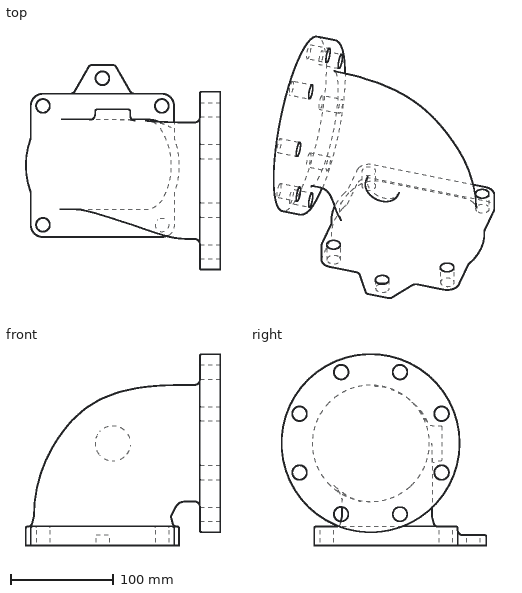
import cadquery as cq
import math


base_side = 140.0
base_thickness = 18.8
base_corner_radius = 12.0
lobe_radius = 74.8
lobe_blend_radius = 5.0
base_hole_diameter = 13.2
edge_radius = 2.0

tab_end_y = 98.0
tab_end_width = 24.8
tab_root_width = 56.8
tab_thickness = 10.5
tab_hole_y = 85.0
tab_edge_radius = 1.5
tab_root_radius = 4.8
tab_corner_radius = 3.5

pipe_end_radius = 67.0
pipe_side_plus_y = 45.0
pipe_side_minus_y = -43.0
pipe_corner_radius = 20.0
pipe_start_z = 28.5
foot_draft_angle = 14.0
foot_radius = 4.0

bend_axis_x = 68.0
bend_angle = 30.0

flange_diameter = 174.0
flange_thickness = 20.0
flange_face_x = 115.0
flange_center_y = -15.0
flange_center_z = 100.0
flange_hole_count = 8
flange_hole_diameter = 14.0
flange_bolt_circle_radius = 75.0

neck_radius = 57.0
neck_length = 12.0
neck_root_radius = 5.0

transition_steps = 8
points_per_segment = 6
tangent_weight = 1.25
ring_split_angles = (50.0, 65.0)

straight_segments = (2, 6)

boss_diameter = 34.5
boss_x = 10.0
boss_z = 100.0
boss_end_y = 54.5
boss_inner_y = 20.0
boss_edge_radius = 2.0
boss_root_radius = 5.0

margin = 0.2

neck_end_x = flange_face_x - flange_thickness
neck_start_x = neck_end_x - neck_length


def edges_in_box(body, low, high):
    """Edges that lie wholly inside a box, with a small allowance on every side."""
    low = tuple(value - margin for value in low)
    high = tuple(value + margin for value in high)
    return body.edges(cq.selectors.BoxSelector(low, high, boundingbox=True))


def make_plate():
    """Square plate with round lobes bulging from its -X and +X sides."""
    lobe_reach = base_side / 2 - base_corner_radius
    square = (
        cq.Workplane("XY")
        .rect(base_side, base_side)
        .extrude(base_thickness)
        .edges("|Z")
        .fillet(base_corner_radius)
    )
    lobe_limits = cq.Workplane("XY").rect(2 * lobe_radius, 2 * lobe_reach).extrude(base_thickness)
    lobes = cq.Workplane("XY").circle(lobe_radius).extrude(base_thickness).intersect(lobe_limits)
    plate = square.union(lobes)
    junction_y = math.sqrt(lobe_radius ** 2 - (base_side / 2) ** 2)
    junctions = edges_in_box(
        plate, (-lobe_radius, -junction_y, 0), (lobe_radius, junction_y, base_thickness)
    ).edges("|Z")
    return junctions.fillet(lobe_blend_radius)


def make_tab():
    root_y = base_side / 2
    inner_y = root_y - tab_root_radius
    return (
        cq.Workplane("XY")
        .polyline([
            (-tab_root_width / 2, inner_y),
            (-tab_root_width / 2, root_y),
            (-tab_end_width / 2, tab_end_y),
            (tab_end_width / 2, tab_end_y),
            (tab_root_width / 2, root_y),
            (tab_root_width / 2, inner_y),
        ])
        .close()
        .extrude(tab_thickness)
        .edges("|Z and >Y")
        .fillet(tab_corner_radius)
    )


def make_base():
    """Plate and tab, blended where they meet and rounded along their upper rims."""
    root_y = base_side / 2
    base = make_plate().union(make_tab())
    root = edges_in_box(
        base, (-tab_root_width / 2, root_y, 0), (tab_root_width / 2, root_y, tab_thickness)
    ).edges("|Z or >Z")
    base = root.fillet(tab_root_radius)
    tab_end_edge = base.edges("|X").edges(">Y").edges(">Z")
    base = tab_end_edge.fillet(tab_edge_radius)
    return base.faces(">Z").edges().fillet(edge_radius)


def arc_points(center, radius, start, end):
    """Points along an arc; angles in degrees from the outer side of the bend towards +Y."""
    points = []
    for i in range(points_per_segment + 1):
        angle = math.radians(start + (end - start) * i / points_per_segment)
        points.append((center[0] + radius * math.cos(angle), center[1] + radius * math.sin(angle)))
    return points


def line_points(start, end):
    points = []
    for i in range(points_per_segment + 1):
        t = i / points_per_segment
        points.append((start[0] + (end[0] - start[0]) * t, start[1] + (end[1] - start[1]) * t))
    return points


def pipe_segments():
    """Eight segments of the pipe section as (outward distance, Y) points about its centre."""
    corner_reach = pipe_end_radius - pipe_corner_radius
    plus_v = pipe_side_plus_y - pipe_corner_radius
    minus_v = pipe_side_minus_y + pipe_corner_radius
    plus_u = math.sqrt(corner_reach ** 2 - plus_v ** 2)
    minus_u = math.sqrt(corner_reach ** 2 - minus_v ** 2)
    plus_angle = math.degrees(math.atan2(plus_v, plus_u))
    minus_angle = math.degrees(math.atan2(minus_v, minus_u))
    radius = pipe_corner_radius
    return [
        arc_points((0, 0), pipe_end_radius, minus_angle, plus_angle),
        arc_points((plus_u, plus_v), radius, plus_angle, 90),
        line_points((plus_u, pipe_side_plus_y), (-plus_u, pipe_side_plus_y)),
        arc_points((-plus_u, plus_v), radius, 90, 180 - plus_angle),
        arc_points((0, 0), pipe_end_radius, 180 - plus_angle, 180 - minus_angle),
        arc_points((-minus_u, minus_v), radius, 180 - minus_angle, 270),
        line_points((-minus_u, pipe_side_minus_y), (minus_u, pipe_side_minus_y)),
        arc_points((minus_u, minus_v), radius, -90, minus_angle),
    ]


def ring_segments():
    """The neck circle split into eight arcs that match the pipe section."""
    first, second = ring_split_angles
    splits = [-first, first, second, 180 - second, 180 - first,
              180 + first, 180 + second, 360 - second, 360 - first]
    return [arc_points((0, 0), neck_radius, a, b) for a, b in zip(splits, splits[1:])]


def place_on_bend(point, angle_degrees):
    angle = math.radians(angle_degrees)
    reach = bend_axis_x + point[0]
    return cq.Vector(
        bend_axis_x - reach * math.cos(angle),
        point[1],
        pipe_start_z + reach * math.sin(angle),
    )


def place_on_neck(point):
    return cq.Vector(neck_start_x, flange_center_y + point[1], flange_center_z + point[0])


def transition_point(start, end, t):
    """Cubic blend from the bend direction to the neck direction."""
    angle = math.radians(bend_angle)
    start_direction = cq.Vector(math.sin(angle), 0, math.cos(angle))
    end_direction = cq.Vector(1, 0, 0)
    pull = tangent_weight * (end - start).Length
    return (
        start * (2 * t ** 3 - 3 * t ** 2 + 1)
        + end * (3 * t ** 2 - 2 * t ** 3)
        + start_direction * (pull * (t ** 3 - 2 * t ** 2 + t))
        + end_direction * (pull * (t ** 3 - t ** 2))
    )


def section_edge(points, is_straight):
    if is_straight:
        return cq.Edge.makeLine(points[0], points[-1])
    return cq.Edge.makeThreePointArc(points[0], points[len(points) // 2], points[-1])


def bend_section(angle):
    edges = []
    for index, segment in enumerate(pipe_segments()):
        points = [place_on_bend(p, angle) for p in segment]
        edges.append(section_edge(points, index in straight_segments))
    return cq.Wire.assembleEdges(edges)


def transition_section(t):
    edges = []
    for pipe_segment, ring_segment in zip(pipe_segments(), ring_segments()):
        starts = [place_on_bend(p, bend_angle) for p in pipe_segment]
        ends = [place_on_neck(p) for p in ring_segment]
        points = [transition_point(a, b, t) for a, b in zip(starts, ends)]
        edges.append(cq.Edge.makeSpline(points))
    return cq.Wire.assembleEdges(edges)


def neck_section():
    edges = [section_edge([place_on_neck(p) for p in s], False) for s in ring_segments()]
    return cq.Wire.assembleEdges(edges)


def make_pipe():
    """Drafted foot, bend of constant section, transition to round, and straight neck."""
    start_face = cq.Face.makeFromWires(bend_section(0))
    foot_height = pipe_start_z - base_thickness
    foot = cq.Solid.extrudeLinear(
        bend_section(0), [], cq.Vector(0, 0, -foot_height), -foot_draft_angle
    )
    bend = cq.Solid.revolve(
        start_face,
        bend_angle,
        cq.Vector(bend_axis_x, 0, pipe_start_z),
        cq.Vector(bend_axis_x, 2, pipe_start_z),
    )
    inner = [transition_section(i / transition_steps) for i in range(1, transition_steps)]
    transition = cq.Solid.makeLoft([bend_section(bend_angle), *inner, neck_section()])
    neck = cq.Solid.extrudeLinear(neck_section(), [], cq.Vector(neck_length, 0, 0))
    pipe = cq.Workplane(foot)
    for piece in (bend, transition, neck):
        pipe = pipe.union(cq.Workplane(piece), clean=False)
    return pipe


def make_flange():
    flange = (
        cq.Workplane("YZ", origin=(neck_end_x, flange_center_y, flange_center_z))
        .circle(flange_diameter / 2)
        .extrude(flange_thickness)
    )
    return flange.faces("<X").edges().fillet(edge_radius)


def make_boss():
    boss = (
        cq.Workplane("XZ", origin=(boss_x, boss_end_y, boss_z))
        .circle(boss_diameter / 2)
        .extrude(boss_end_y - boss_inner_y)
    )
    return boss.faces(">Y").edges().fillet(boss_edge_radius)


def blend_boss_root(pipe):
    reach = boss_diameter / 2
    edges = edges_in_box(
        pipe,
        (boss_x - reach, boss_inner_y, boss_z - reach),
        (boss_x + reach, boss_end_y - 2 * boss_edge_radius, boss_z + reach),
    )
    return edges.fillet(boss_root_radius)


def blend_neck_root(pipe):
    edges = edges_in_box(
        pipe,
        (neck_end_x, flange_center_y - neck_radius, flange_center_z - neck_radius),
        (neck_end_x, flange_center_y + neck_radius, flange_center_z + neck_radius),
    )
    return edges.fillet(neck_root_radius)


def blend_pipe_foot(body):
    foot_spread = (pipe_start_z - base_thickness) * math.tan(math.radians(foot_draft_angle))
    reach_x = pipe_end_radius + foot_spread
    edges = edges_in_box(
        body,
        (-reach_x, pipe_side_minus_y - foot_spread, base_thickness),
        (reach_x, pipe_side_plus_y + foot_spread, base_thickness),
    )
    return edges.fillet(foot_radius)


def make_base_holes():
    hole_reach = base_side / 2 - base_corner_radius
    corners = [(x, y) for x in (-hole_reach, hole_reach) for y in (-hole_reach, hole_reach)]
    return (
        cq.Workplane("XY")
        .pushPoints([*corners, (0, tab_hole_y)])
        .circle(base_hole_diameter / 2)
        .extrude(base_thickness)
    )


def make_flange_holes():
    """Bolt holes straddling the vertical centre line of the flange."""
    half_pitch = 180 / flange_hole_count
    return (
        cq.Workplane("YZ", origin=(neck_end_x, flange_center_y, flange_center_z))
        .polarArray(flange_bolt_circle_radius, half_pitch, 360, flange_hole_count)
        .circle(flange_hole_diameter / 2)
        .extrude(flange_thickness)
    )


elbow = blend_boss_root(make_pipe().union(make_boss(), clean=False))
elbow = blend_neck_root(elbow.union(make_flange(), clean=False))
body = blend_pipe_foot(make_base().union(elbow, clean=False))
result = body.cut(make_base_holes(), clean=False).cut(make_flange_holes(), clean=False)